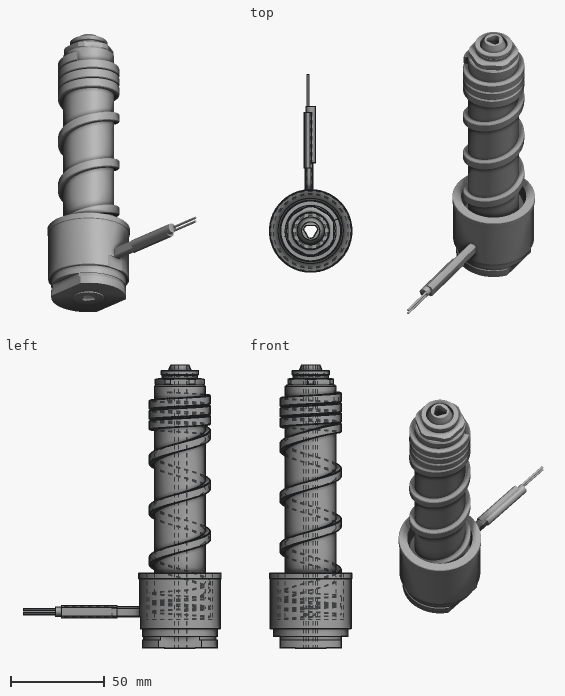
import cadquery as cq
import math

total_height = 151.3
total_depth = 105.5
joint_overlap = 0.2

foot_radius = 8.2
foot_height = 0.5
base_radius = 20.0
base_flat_offset = 16.3
groove_radius = 19.4
groove_bottom = 4.7
groove_top = 6.5
housing_radius = 21.6
housing_bottom = 10.6
collar_diameter = 44.0
collar_radius = collar_diameter / 2
collar_bottom = 37.0
housing_top = 40.4
housing_chamfer = 0.3
relief_offset = 21.0
relief_top = 17.1

shaft_radius = 13.6
shaft_top = 140.5
shaft_chamfer = 0.8
nut_width = 24.4
nut_corner_radius = 13.2
nut_bottom_chamfer = 0.5
nut_edge_top = 143.6
nut_cone_radius = 10.3
nut_cone_top = 144.2
neck_radius = 9.5
neck_top = 145.7
head_groove_radius = 9.1
head_radius = 10.0
head_bottom = 146.0
head_top = 148.5
head_chamfer = 0.3
nozzle_tip_radius = 4.8
nozzle_root_radius = 7.4
nozzle_root = 145.2

bore_flat_offset = 2.9
bore_corner_radius = 3.8

spring_radius = 16.3
wire_height = 4.8
wire_chamfer = 0.38
closed_pitch = 5.5
open_pitch = 27.0
ramp_angle = 60.0
upper_closed_angle = 1127.0
open_angle = 1115.0
lower_closed_angle = 720.0
spring_end_angle = 24.0
spring_top = 137.0
spring_clearance = 1.0

cable_height_center = 19.7
cable_center = -0.9
cable_width = 4.2
cable_thickness = 5.6
cable_top_corner = 1.0
cable_bottom_corner = 0.6
sleeve_center = -1.4
sleeve_width = 4.4
sleeve_thickness = 6.7
sleeve_corner = 1.13
sleeve_start = 33.5
sleeve_end = 63.2
plug_radius = 2.5
plug_start = 36.3
plug_end = 66.4
lead_center = -1.44
lead_radius = 0.6
lead_spacing = 2.1
lead_end = total_depth - collar_radius


def cylinder(radius, bottom, top):
    return cq.Workplane("XY").workplane(offset=bottom).circle(radius).extrude(top - bottom)


def revolved(outline):
    """Solid of revolution about Z from a closed outline of (radius, height) points."""
    return cq.Workplane("XZ").polyline(outline).close().revolve(360, (0, 0), (0, 1))


lower_ramp_start = lower_closed_angle
lower_ramp_end = lower_ramp_start + ramp_angle
upper_ramp_start = lower_ramp_end + open_angle
upper_ramp_end = upper_ramp_start + ramp_angle
spring_angle = upper_ramp_end + upper_closed_angle


def ramp_area(angle, start):
    """Integral over the angle of a 0-to-1 ramp that begins at the start angle."""
    run = min(max(angle - start, 0.0), ramp_angle)
    past = max(angle - start - ramp_angle, 0.0)
    return run**2 / (2 * ramp_angle) + past


def spring_rise(angle):
    extra_turns = (ramp_area(angle, lower_ramp_start) - ramp_area(angle, upper_ramp_start)) / 360
    return closed_pitch * angle / 360 + (open_pitch - closed_pitch) * extra_turns


spring_bottom = spring_top - wire_height - spring_rise(spring_angle)
spring_start_angle = spring_end_angle - spring_angle


def make_spring():
    inner_radius = shaft_radius - joint_overlap

    def edge_helix(radius, lift):
        def point(angle):
            direction = math.radians(spring_start_angle + angle)
            height = spring_bottom + lift + spring_rise(angle)
            return cq.Vector(radius * math.cos(direction), radius * math.sin(direction), height)

        points = [point(spring_angle * i / (point_count - 1)) for i in range(point_count)]
        return cq.Edge.makeSpline(points)

    corners = [
        (inner_radius, 0),
        (spring_radius - wire_chamfer, 0),
        (spring_radius, wire_chamfer),
        (spring_radius, wire_height - wire_chamfer),
        (spring_radius - wire_chamfer, wire_height),
        (inner_radius, wire_height),
    ]
    point_angle = 15.0
    point_count = int(spring_angle / point_angle) + 1
    edges = [edge_helix(radius, lift) for radius, lift in corners]
    sides = [cq.Face.makeRuledSurface(edges[i], edges[i - 1]) for i in range(len(edges))]
    starts = [edge.startPoint() for edge in edges]
    ends = [edge.endPoint() for edge in edges]
    caps = [cq.Face.makeFromWires(cq.Wire.makePolygon(loop, close=True)) for loop in (starts, ends)]
    return cq.Workplane(cq.Solid.makeSolid(cq.Shell.makeShell(sides + caps)))


def make_housing():
    base = cylinder(base_radius, foot_height, groove_bottom)
    base = base.union(cylinder(groove_radius, groove_bottom, groove_top))
    flats = cq.Workplane("XY").rect(2 * base_flat_offset, 2 * base_radius).extrude(groove_top)
    base = base.intersect(flats)
    foot = cylinder(foot_radius, 0, foot_height)
    flange = cylinder(base_radius, groove_top, housing_bottom)
    barrel = cylinder(housing_radius, housing_bottom, collar_bottom).faces("<Z").chamfer(housing_chamfer)
    collar = cylinder(collar_radius, collar_bottom, housing_top).edges().chamfer(housing_chamfer)
    relief = (
        cq.Workplane("XY")
        .workplane(offset=housing_bottom)
        .center(0, relief_offset + base_radius / 2)
        .rect(2 * housing_radius, base_radius)
        .extrude(relief_top - housing_bottom)
    )
    pocket = cylinder(spring_radius + spring_clearance, spring_bottom + joint_overlap, housing_top)
    return base.union(foot).union(flange).union(barrel.cut(relief)).union(collar).cut(pocket)


def make_nut():
    outline = [
        (0, shaft_top),
        (nut_corner_radius - nut_bottom_chamfer, shaft_top),
        (nut_corner_radius, shaft_top + nut_bottom_chamfer),
        (nut_corner_radius, nut_edge_top),
        (nut_cone_radius, nut_cone_top),
        (0, nut_cone_top),
    ]
    blank = revolved(outline)
    hexagon = (
        cq.Workplane("XY")
        .workplane(offset=shaft_top)
        .polygon(6, nut_width, circumscribed=True)
        .extrude(nut_cone_top - shaft_top)
    )
    return blank.intersect(hexagon)


def make_head():
    outline = [
        (0, shaft_top),
        (neck_radius, shaft_top),
        (neck_radius, neck_top),
        (head_groove_radius, neck_top),
        (head_groove_radius, head_bottom),
        (head_radius - head_chamfer, head_bottom),
        (head_radius, head_bottom + head_chamfer),
        (head_radius, head_top - head_chamfer),
        (head_radius - head_chamfer, head_top),
        (nozzle_root_radius, head_top),
        (nozzle_root_radius, nozzle_root),
        (nozzle_tip_radius, total_height),
        (0, total_height),
    ]
    return revolved(outline)


def make_shaft():
    shaft = cylinder(shaft_radius, foot_height, shaft_top).faces(">Z").chamfer(shaft_chamfer)
    return shaft.union(make_nut()).union(make_head())


def make_bore():
    triangle = (
        cq.Workplane("XY")
        .transformed(rotate=(0, 0, 90))
        .polygon(3, 2 * bore_flat_offset, circumscribed=True)
        .extrude(total_height)
    )
    return triangle.intersect(cylinder(bore_corner_radius, 0, total_height))


def along_y(x, z, start):
    """Work plane at a given Y; negative extrusions run towards +Y."""
    return cq.Workplane("XZ", origin=(x, start, z))


def chamfered_bar(x, width, thickness, top_corner, bottom_corner, start, end):
    bar = along_y(x, cable_height_center, start).rect(width, thickness).extrude(start - end)
    bar = bar.faces(">Z").edges("|Y").chamfer(top_corner)
    return bar.faces("<Z").edges("|Y").chamfer(bottom_corner)


def make_cable():
    cable_start = spring_radius + spring_clearance + joint_overlap
    cable = chamfered_bar(
        cable_center, cable_width, cable_thickness,
        cable_top_corner, cable_bottom_corner, cable_start, sleeve_end,
    )
    sleeve = chamfered_bar(
        sleeve_center, sleeve_width, sleeve_thickness,
        sleeve_corner, sleeve_corner, sleeve_start, sleeve_end,
    )
    plug = along_y(0, cable_height_center, plug_start).circle(plug_radius).extrude(plug_start - plug_end)
    cable = cable.union(sleeve).union(plug)
    for side in (-1, 1):
        z = cable_height_center + side * lead_spacing / 2
        lead = along_y(lead_center, z, sleeve_start).circle(lead_radius).extrude(sleeve_start - lead_end)
        cable = cable.union(lead)
    return cable


result = make_housing().union(make_shaft()).union(make_spring()).union(make_cable()).cut(make_bore())